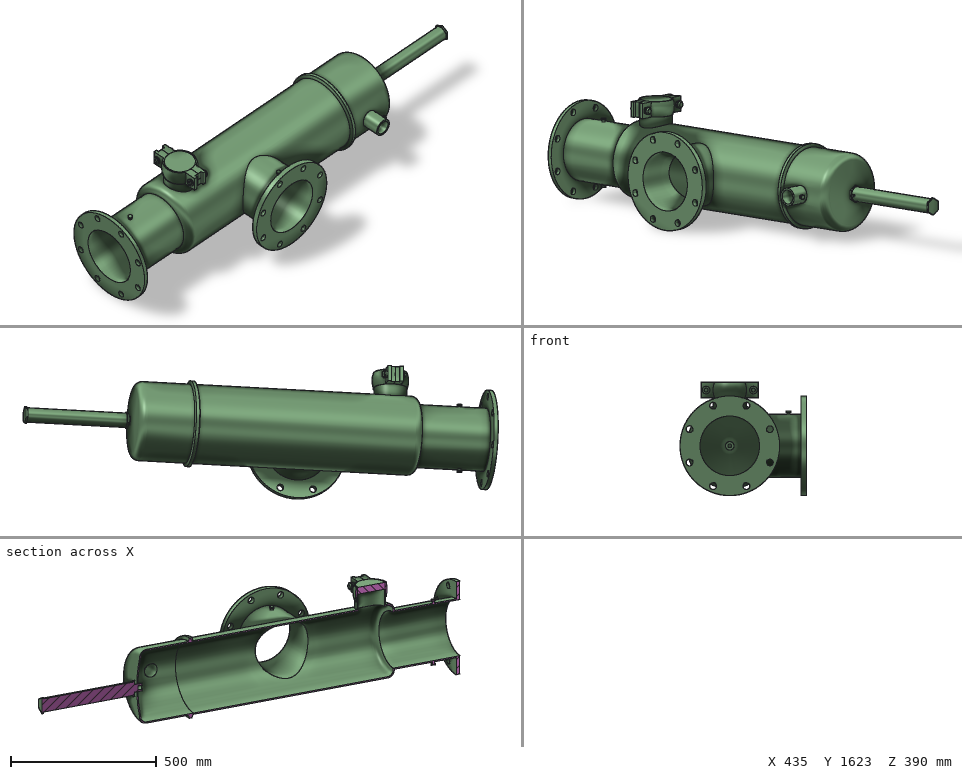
import cadquery as cq
import math

overall_width = 435.0
overall_height = 390.0
wall = 6.0

shell_radius = 136.0
pipe_radius = 109.0
knuckle_radius = shell_radius - pipe_radius
shoulder_y = 281.0
lid_knuckle_y = 1218.0
crown_edge_radius = pipe_radius
crown_edge_y = lid_knuckle_y + knuckle_radius
crown_top_y = 1257.0

collar_radius = 148.0
collar_y = 1045.0
collar_base_width = 20.0
collar_tip_width = 11.0
joint_y = collar_y - collar_base_width / 2

flange_radius = 343.0 / 2
inlet_flange_thickness = 15.0
outlet_flange_thickness = 20.0
flange_hole_count = 8
flange_hole_radius = 11.0
flange_hole_circle = 150.0

outlet_y = 623.0
outlet_face_x = overall_width - flange_radius

nozzle_y = 1132.0
nozzle_radius = 31.0
nozzle_end_x = 201.0

plug_head_radius = 8.0
plug_head_thickness = 5.0
plug_neck_radius = 5.7
plug_height = 11.0
plug_root = wall / 2
inlet_plug_y = 102.0
outlet_plug_x = 201.0
nozzle_plug_x = 169.0

port_y = 344.0
port_radius = 57.0
port_cap_radius = 54.0
clamp_top_z = overall_height - flange_radius
clamp_height = 54.0
clamp_bottom_z = clamp_top_z - clamp_height
clamp_middle_z = clamp_top_z - clamp_height / 2
clamp_end_radius = 58.0
clamp_bulge_radius = 63.0
ear_reach = 196.0 / 2
ear_half_width = 54.0 / 2
ear_notch_depth = 10.0
ear_notch_half_width = 15.0

bolt_x = 81.0
shank_radius = 6.0
bolt_shoulder_radius = 11.0
bolt_shoulder_length = 7.3
bolt_head_radius = 13.0
bolt_head_thickness = 10.0
bolt_head_chamfer = 5.0
bolt_tip_length = 11.0
nut_thickness = 5.0

actuator_end_y = 1623.0
actuator_start_y = 1263.0
actuator_radius = 50.0 / 2
actuator_cap_flats = 52.0
actuator_cap_thickness = 6.0
stem_radius = 15.0
stem_end_y = 1234.0
stem_hole_radius = 6.0
stem_hole_depth = 16.0
connector_y = 1283.0
connector_neck_radius = 2.5
connector_head_radius = 5.0
connector_head_x = 32.0
connector_end_x = 39.0

PLUS_X = (1, 0, 0)
PLUS_Y = (0, 1, 0)
PLUS_Z = (0, 0, 1)
MINUS_Z = (0, 0, -1)


def cylinder(radius, length, start, direction):
    """Solid cylinder from a start point along a direction."""
    solid = cq.Solid.makeCylinder(radius, length, cq.Vector(*start), cq.Vector(*direction))
    return cq.Workplane(solid)


def arc_middle(center, radius, degrees):
    """Point on a circle, used as the middle point of an arc."""
    angle = math.radians(degrees)
    return (center[0] + radius * math.cos(angle), center[1] + radius * math.sin(angle))


def revolve_about_y(profile):
    """Turn a closed (Y, radius) profile about the vessel axis."""
    return profile.close().revolve(360, (0, 0), (1, 0))


def flange_holes(plane, thickness):
    """Ring of bolt holes that straddle the centre lines of a flange."""
    return (
        cq.Workplane(plane)
        .polarArray(flange_hole_circle, 180 / flange_hole_count, 360, flange_hole_count)
        .circle(flange_hole_radius)
        .extrude(thickness)
    )


def plug(base, direction):
    """Headed plug whose neck starts at the pipe surface."""
    base = cq.Vector(*base)
    axis = cq.Vector(*direction)
    root = base - axis * plug_root
    head_base = base + axis * (plug_height - plug_head_thickness)
    neck = cylinder(plug_neck_radius, plug_root + plug_height, root.toTuple(), direction)
    head = cylinder(plug_head_radius, plug_head_thickness, head_base.toTuple(), direction)
    return neck.union(head)


def make_housing():
    knuckle_center = (shoulder_y, pipe_radius)
    inner_knuckle = knuckle_radius - wall
    bore_radius = pipe_radius - wall
    body = revolve_about_y(
        cq.Workplane("YZ")
        .moveTo(0, bore_radius)
        .lineTo(0, flange_radius)
        .lineTo(inlet_flange_thickness, flange_radius)
        .lineTo(inlet_flange_thickness, pipe_radius)
        .lineTo(shoulder_y - knuckle_radius, pipe_radius)
        .threePointArc(arc_middle(knuckle_center, knuckle_radius, 135), (shoulder_y, shell_radius))
        .lineTo(joint_y, shell_radius)
        .lineTo(joint_y, shell_radius - wall)
        .lineTo(shoulder_y, shell_radius - wall)
        .threePointArc(
            arc_middle(knuckle_center, inner_knuckle, 135),
            (shoulder_y - inner_knuckle, pipe_radius),
        )
        .lineTo(shoulder_y - inner_knuckle, bore_radius)
    )
    inlet_holes = flange_holes(cq.Plane((0, 0, 0), PLUS_X, PLUS_Y), inlet_flange_thickness)
    body = body.cut(inlet_holes)

    outlet_start = (0, outlet_y, 0)
    flange_x = outlet_face_x - outlet_flange_thickness
    port_start = (0, port_y, 0)
    shell_space = cylinder(shell_radius - wall, joint_y - shoulder_y, (0, shoulder_y, 0), PLUS_Y)
    branches = (
        cylinder(pipe_radius, outlet_face_x, outlet_start, PLUS_X)
        .union(cylinder(flange_radius, outlet_flange_thickness, (flange_x, outlet_y, 0), PLUS_X))
        .union(cylinder(port_radius, clamp_middle_z, port_start, PLUS_Z))
        .cut(shell_space)
    )
    outlet_plane = cq.Plane((flange_x, outlet_y, 0), PLUS_Y, PLUS_X)
    body = (
        body.union(branches)
        .cut(flange_holes(outlet_plane, outlet_flange_thickness))
        .cut(cylinder(bore_radius, outlet_face_x, outlet_start, PLUS_X))
        .cut(cylinder(port_radius - wall, clamp_middle_z, port_start, PLUS_Z))
    )

    return (
        body.union(plug((0, inlet_plug_y, pipe_radius), PLUS_Z))
        .union(plug((0, inlet_plug_y, -pipe_radius), MINUS_Z))
        .union(plug((outlet_plug_x, outlet_y, pipe_radius), PLUS_Z))
    )


def crown_middle(inset):
    """Middle point of the shallow crown arc, on a surface inset from the outside."""
    rise = crown_top_y - crown_edge_y
    half_radius = crown_edge_radius / 2
    sphere_radius = (crown_edge_radius**2 + rise**2) / (2 * rise)
    drop = sphere_radius - math.sqrt(sphere_radius**2 - half_radius**2)
    return (crown_top_y - drop - inset, half_radius)


def make_lid():
    knuckle_center = (lid_knuckle_y, crown_edge_radius)
    inner_knuckle = knuckle_radius - wall
    lid = revolve_about_y(
        cq.Workplane("YZ")
        .moveTo(joint_y, shell_radius - wall)
        .lineTo(joint_y, shell_radius)
        .lineTo(collar_y - collar_tip_width / 2, collar_radius)
        .lineTo(collar_y + collar_tip_width / 2, collar_radius)
        .lineTo(collar_y + collar_base_width / 2, shell_radius)
        .lineTo(lid_knuckle_y, shell_radius)
        .threePointArc(
            arc_middle(knuckle_center, knuckle_radius, 45), (crown_edge_y, crown_edge_radius)
        )
        .threePointArc(crown_middle(0), (crown_top_y, 0))
        .lineTo(crown_top_y - wall, 0)
        .threePointArc(crown_middle(wall), (crown_edge_y - wall, crown_edge_radius))
        .threePointArc(
            arc_middle(knuckle_center, inner_knuckle, 45), (lid_knuckle_y, shell_radius - wall)
        )
    )

    nozzle_start = (0, nozzle_y, 0)
    lid_length = lid_knuckle_y - joint_y
    lid_space = cylinder(shell_radius - wall, lid_length, (0, joint_y, 0), PLUS_Y)
    nozzle = cylinder(nozzle_radius, nozzle_end_x, nozzle_start, PLUS_X).cut(lid_space)
    lid = lid.union(nozzle).cut(cylinder(nozzle_radius - wall, nozzle_end_x, nozzle_start, PLUS_X))
    lid = lid.union(plug((nozzle_plug_x, nozzle_y + nozzle_radius, 0), PLUS_Y))

    stem_length = crown_top_y - stem_end_y
    return lid.cut(cylinder(stem_radius, stem_length, (0, stem_end_y, 0), PLUS_Y))


def actuator_cap(start_y):
    """Hexagonal end plate with two flats facing sideways."""
    corner_diameter = actuator_cap_flats / math.cos(math.radians(30))
    return (
        cq.Workplane(cq.Plane((0, start_y, 0), PLUS_Z, PLUS_Y))
        .polygon(6, corner_diameter)
        .extrude(actuator_cap_thickness)
    )


def make_actuator():
    tube_length = actuator_end_y - actuator_start_y
    stem_length = actuator_start_y - stem_end_y
    head_length = connector_end_x - connector_head_x
    return (
        cylinder(actuator_radius, tube_length, (0, actuator_start_y, 0), PLUS_Y)
        .union(actuator_cap(actuator_start_y))
        .union(actuator_cap(actuator_end_y - actuator_cap_thickness))
        .union(cylinder(stem_radius, stem_length, (0, stem_end_y, 0), PLUS_Y))
        .cut(cylinder(stem_hole_radius, stem_hole_depth, (0, stem_end_y, 0), PLUS_Y))
        .union(cylinder(connector_neck_radius, connector_end_x, (0, connector_y, 0), PLUS_X))
        .union(
            cylinder(
                connector_head_radius, head_length, (connector_head_x, connector_y, 0), PLUS_X
            )
        )
    )


def make_port_cap():
    return cylinder(port_cap_radius, clamp_height / 2, (0, port_y, clamp_middle_z), PLUS_Z)


def make_clamp_half(side):
    """Half of the port clamp on the +Y (side = 1) or -Y (side = -1) side of the port."""
    barrel = (
        cq.Workplane("XZ")
        .moveTo(0, clamp_bottom_z)
        .lineTo(clamp_end_radius, clamp_bottom_z)
        .threePointArc((clamp_bulge_radius, clamp_middle_z), (clamp_end_radius, clamp_top_z))
        .lineTo(0, clamp_top_z)
        .close()
        .revolve(360, (0, 0), (0, 1))
    )
    ears = cq.Workplane().box(2 * ear_reach, 2 * ear_half_width, clamp_height)
    ears = ears.translate((0, 0, clamp_middle_z))
    notches = (
        cq.Workplane()
        .pushPoints([(-ear_reach, 0), (ear_reach, 0)])
        .box(2 * ear_notch_depth, 2 * ear_notch_half_width, clamp_height)
        .translate((0, 0, clamp_middle_z))
    )
    clamp = barrel.union(ears).cut(notches).translate((0, port_y, 0))

    clamp = clamp.cut(cylinder(port_radius, clamp_middle_z, (0, port_y, 0), PLUS_Z))
    clamp = clamp.cut(make_port_cap())
    for x in (-bolt_x, bolt_x):
        hole_start = (x, port_y - ear_half_width, clamp_middle_z)
        clamp = clamp.cut(cylinder(shank_radius, 2 * ear_half_width, hole_start, PLUS_Y))

    keep_depth = clamp_bulge_radius
    keep = cq.Workplane().box(2 * ear_reach, keep_depth, clamp_height)
    return clamp.intersect(keep.translate((0, port_y + side * keep_depth / 2, clamp_middle_z)))


def make_bolt(x):
    seat_y = port_y + ear_half_width
    head_y = seat_y + bolt_shoulder_length
    tip_y = port_y - ear_half_width - bolt_tip_length
    head = cylinder(bolt_head_radius, bolt_head_thickness, (x, head_y, clamp_middle_z), PLUS_Y)
    head = head.faces(">Y").chamfer(bolt_head_chamfer)
    shoulder = cylinder(
        bolt_shoulder_radius, bolt_shoulder_length, (x, seat_y, clamp_middle_z), PLUS_Y
    )
    shank = cylinder(shank_radius, head_y - tip_y, (x, tip_y, clamp_middle_z), PLUS_Y)
    return shank.union(shoulder).union(head)


def make_nut(x):
    start = (x, port_y - ear_half_width - nut_thickness, clamp_middle_z)
    nut = cylinder(bolt_head_radius, nut_thickness, start, PLUS_Y)
    return nut.cut(cylinder(shank_radius, nut_thickness, start, PLUS_Y))


housing = make_housing()
lid = make_lid()
actuator = make_actuator()
port_cap = make_port_cap()
clamp_halves = [make_clamp_half(side).val() for side in (-1, 1)]
bolts = [make_bolt(x).val() for x in (-bolt_x, bolt_x)]
nuts = [make_nut(x).val() for x in (-bolt_x, bolt_x)]

result = cq.Compound.makeCompound(
    [housing.val(), lid.val(), actuator.val(), port_cap.val(), *clamp_halves, *bolts, *nuts]
)